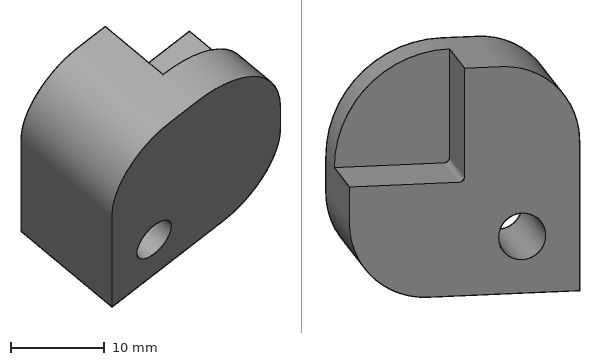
import cadquery as cq

width = 14.0
side = 25.0

small_corner_radius = 8.5
large_corner_radius = side / 2

pocket_depth = 8.9
pocket_root_radius = 0.6

hole_diameter = 5.1
hole_offset = side / 4


def rounded_block():
    """Square block with three rounded edges; the front bottom edge stays sharp."""
    block = cq.Workplane("XY").box(width, side, side)
    block = block.edges("|X").edges(">Y and >Z").fillet(large_corner_radius)
    block = block.edges("|X").edges("<Y and >Z").fillet(small_corner_radius)
    return block.edges("|X").edges(">Y and <Z").fillet(small_corner_radius)


def corner_pocket():
    """Cutter for the upper rear quarter, with a rounded root along X."""
    cutter = cq.Workplane("XY").box(pocket_depth, side, side, centered=False)
    cutter = cutter.edges("|X").edges("<Y and <Z").fillet(pocket_root_radius)
    return cutter.translate((-width / 2, 0, 0))


def cross_hole():
    """Cutter for the round hole that passes through along X."""
    hole = cq.Workplane("YZ").circle(hole_diameter / 2).extrude(width / 2, both=True)
    return hole.translate((0, -hole_offset, -hole_offset))


result = rounded_block().cut(corner_pocket()).cut(cross_hole())